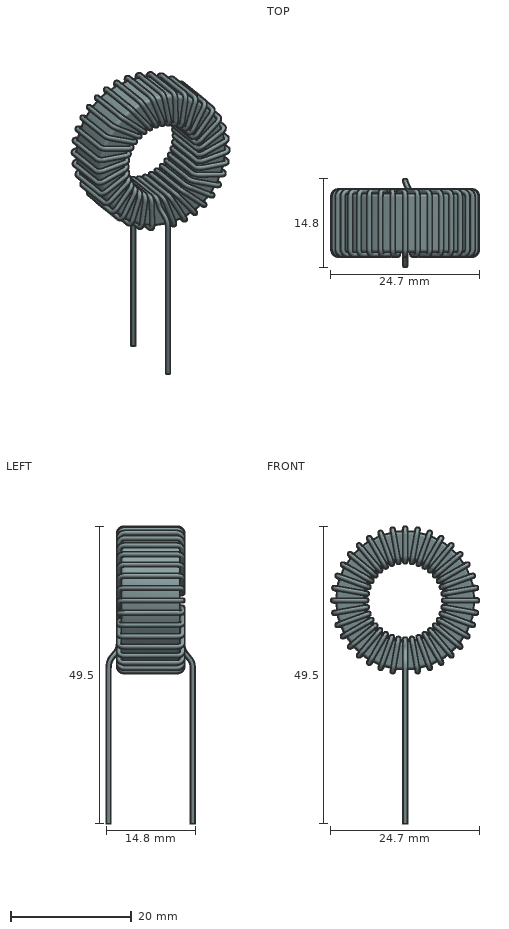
import cadquery as cq
import math


core_outer_radius = 23.1 / 2
core_inner_radius = 13.8 / 2
core_width = 9.75
core_edge_radius = 0.5

wire_diameter = 0.8
wire_gap = 0.01
pitch_count = 36
pitch_angle = 2 * math.pi / pitch_count

lead_spacing = 14.0
lead_start_z = -11.19
lead_end_z = -37.18

wire_offset = wire_gap + wire_diameter / 2
outer_run_radius = core_outer_radius + wire_offset
inner_run_radius = core_inner_radius - wire_offset
face_run_y = core_width / 2 + wire_offset
bend_radius = core_edge_radius + wire_offset
straight_half_length = face_run_y - bend_radius

y_axis = cq.Vector(0, 1, 0)
down = cq.Vector(0, 0, -1)


def on_ring(radius, position):
    """Point in the middle plane; position 0 is the bottom, counting towards -X at the start."""
    angle = position * pitch_angle
    return cq.Vector(-radius * math.sin(angle), 0, -radius * math.cos(angle))


def unit_direction(start, end):
    """Unit direction from one point to another."""
    return (end - start).normalized()


def bend(corner, in_direction, out_direction):
    """Quarter-circle arc that rounds a right-angled corner of the centreline."""
    start = corner - in_direction * bend_radius
    end = corner + out_direction * bend_radius
    centre = start + out_direction * bend_radius
    middle = centre + (in_direction - out_direction) * (bend_radius / math.sqrt(2))
    return cq.Edge.makeThreePointArc(start, middle, end)


def axial_run(point, direction):
    """Straight run through the core width, from face to face."""
    half = direction * straight_half_length
    return cq.Edge.makeLine(point - half, point + half)


def face_run(start, end):
    """Run across a core face between two corners, less the bends at its ends."""
    trim = unit_direction(start, end) * bend_radius
    return cq.Edge.makeLine(start + trim, end - trim)


def turn_edges(position):
    """One turn: through the bore, out across the back, forward outside, in across the front."""
    back = y_axis * face_run_y
    inner = on_ring(inner_run_radius, position)
    outer = on_ring(outer_run_radius, position + 1)
    next_inner = on_ring(inner_run_radius, position + 1)
    slanted = unit_direction(inner, outer)
    inward = unit_direction(outer, next_inner)
    return [
        axial_run(inner, y_axis),
        bend(inner + back, y_axis, slanted),
        face_run(inner + back, outer + back),
        bend(outer + back, slanted, -y_axis),
        axial_run(outer, -y_axis),
        bend(outer - back, -y_axis, inward),
        face_run(outer - back, next_inner - back),
        bend(next_inner - back, inward, y_axis),
    ]


def lead_edges(corner, direction, side):
    """Lead listed from the winding outwards: bend out of the bore, sway to the lead axis, drop."""
    start = corner + direction * bend_radius
    lead_top = cq.Vector(0, side * lead_spacing / 2, lead_start_z)
    lead_tip = cq.Vector(0, side * lead_spacing / 2, lead_end_z)
    return [
        bend(corner, y_axis * side, direction),
        cq.Edge.makeSpline([start, lead_top], tangents=[direction, down]),
        cq.Edge.makeLine(lead_top, lead_tip),
    ]


def make_core():
    ring = (
        cq.Workplane("XZ")
        .circle(core_outer_radius)
        .circle(core_inner_radius)
        .extrude(core_width)
        .translate((0, core_width / 2, 0))
    )
    return ring.edges().fillet(core_edge_radius)


def make_winding():
    last = pitch_count - 1
    front_corner = on_ring(inner_run_radius, 0) - y_axis * face_run_y
    back_corner = on_ring(inner_run_radius, last) + y_axis * face_run_y
    back_direction = unit_direction(on_ring(inner_run_radius, last), on_ring(outer_run_radius, 0))

    edges = lead_edges(front_corner, down, -1)
    for position in range(last):
        edges += turn_edges(position)
    edges.append(axial_run(on_ring(inner_run_radius, last), y_axis))
    edges += lead_edges(back_corner, back_direction, 1)

    path = cq.Wire.assembleEdges(edges)
    front_tip = cq.Vector(0, -lead_spacing / 2, lead_end_z)
    section = cq.Workplane(cq.Plane(front_tip, (1, 0, 0), (0, 0, 1))).circle(wire_diameter / 2)
    return section.sweep(cq.Workplane(path))


core = make_core()
winding = make_winding()
result = cq.Compound.makeCompound([core.val(), winding.val()])